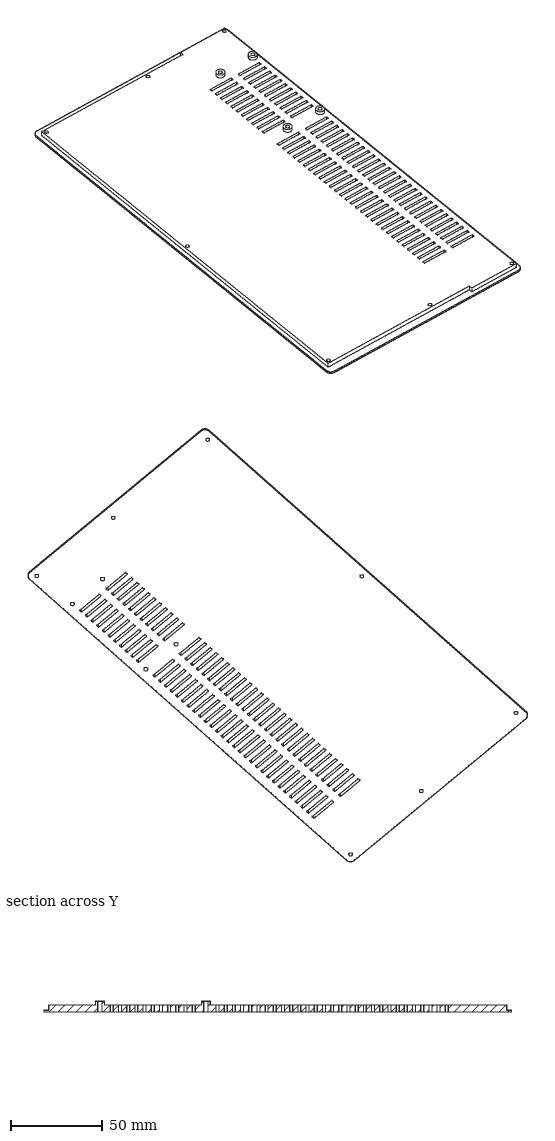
import cadquery as cq

FLANGE_LENGTH = 256.0
FLANGE_WIDTH = 136.48
FLANGE_THICKNESS = 1.2
FLANGE_CORNER_RADIUS = 3.0

TOTAL_HEIGHT = 6.0
BOSS_HEIGHT = 2.0
PANEL_TOP = TOTAL_HEIGHT - BOSS_HEIGHT
PANEL_SIDE_MARGIN = 2.5
PANEL_END_MARGIN = 2.4
PANEL_FRONT_SIDE_MARGIN = 4.6
PANEL_WIDE_DEPTH = 31.5

SCREW_HOLE_DIAMETER = 2.0
SCREW_EDGE_DISTANCE = 4.24
FRONT_SCREW_X = 121.5
BACK_SCREW_X = FLANGE_LENGTH / 2 - SCREW_EDGE_DISTANCE
SCREW_ROW_Y = FLANGE_WIDTH / 2 - SCREW_EDGE_DISTANCE
SIDE_SCREW_Y = 8.0

BOSS_DIAMETER = 5.0
BOSS_HOLE_DIAMETER = 2.2
BOSS_LEFT_X = -97.35
BOSS_BACK_Y = 62.4
BOSS_SPACING_X = 58.0
BOSS_SPACING_Y = 23.0

SLOT_WIDTH = 1.484
RIB_WIDTH = 3.0
SLOT_LENGTH = 15.0
SLOT_PITCH = SLOT_WIDTH + RIB_WIDTH
SLOT_ROW_COUNT = 2
SLOT_ROW_PITCH = 20.0
SLOT_BACK_ROW_Y = 54.9
SHORT_GROUP_START_X = -90.85
SHORT_GROUP_COUNT = 11
LONG_GROUP_START_X = -33.0
LONG_GROUP_COUNT = 29

SLOT_GROUPS = [
    (SHORT_GROUP_START_X, SHORT_GROUP_COUNT),
    (LONG_GROUP_START_X, LONG_GROUP_COUNT),
]

BOSS_COLUMNS = [BOSS_LEFT_X, BOSS_LEFT_X + BOSS_SPACING_X]
BOSS_ROWS = [BOSS_BACK_Y, BOSS_BACK_Y - BOSS_SPACING_Y]
BOSS_POINTS = [(x, y) for x in BOSS_COLUMNS for y in BOSS_ROWS]


def make_flange():
    flange = cq.Workplane("XY").box(
        FLANGE_LENGTH, FLANGE_WIDTH, FLANGE_THICKNESS, centered=(True, True, False)
    )
    return flange.edges("|Z").fillet(FLANGE_CORNER_RADIUS)


def make_panel():
    wide_x = FLANGE_LENGTH / 2 - PANEL_SIDE_MARGIN
    narrow_x = FLANGE_LENGTH / 2 - PANEL_FRONT_SIDE_MARGIN
    edge_y = FLANGE_WIDTH / 2 - PANEL_END_MARGIN
    step_y = edge_y - PANEL_WIDE_DEPTH
    right_half = [
        (narrow_x, -edge_y),
        (narrow_x, step_y),
        (wide_x, step_y),
        (wide_x, edge_y),
    ]
    left_half = [(-x, y) for x, y in reversed(right_half)]
    return cq.Workplane("XY").polyline(right_half + left_half).close().extrude(PANEL_TOP)


def make_bosses():
    return cq.Workplane("XY").pushPoints(BOSS_POINTS).circle(BOSS_DIAMETER / 2).extrude(TOTAL_HEIGHT)


def through_holes(points, diameter):
    return cq.Workplane("XY").pushPoints(points).circle(diameter / 2).extrude(TOTAL_HEIGHT)


def screw_points():
    points = [(0, -SCREW_ROW_Y)]
    for side in (-1, 1):
        points.append((side * BACK_SCREW_X, SCREW_ROW_Y))
        points.append((side * FRONT_SCREW_X, SIDE_SCREW_Y))
        points.append((side * FRONT_SCREW_X, -SCREW_ROW_Y))
    return points


def make_slots():
    points = []
    for start_x, count in SLOT_GROUPS:
        for row in range(SLOT_ROW_COUNT):
            y = SLOT_BACK_ROW_Y - row * SLOT_ROW_PITCH
            for i in range(count):
                points.append((start_x + i * SLOT_PITCH, y))
    return cq.Workplane("XY").pushPoints(points).rect(SLOT_WIDTH, SLOT_LENGTH).extrude(TOTAL_HEIGHT)


result = (
    make_flange()
    .union(make_panel())
    .union(make_bosses())
    .cut(through_holes(screw_points(), SCREW_HOLE_DIAMETER))
    .cut(through_holes(BOSS_POINTS, BOSS_HOLE_DIAMETER))
    .cut(make_slots())
)